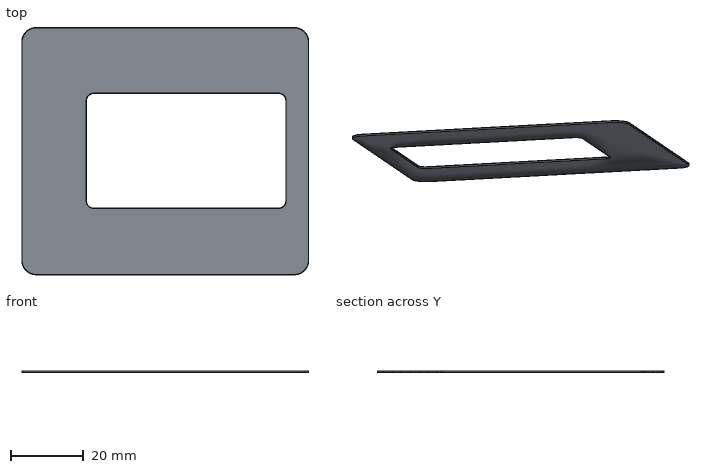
import cadquery as cq

plate_length = 79.0
plate_width = 68.07
plate_thickness = 0.5
plate_corner_radius = 4.0

window_length = 54.9
window_width = 31.6
window_corner_radius = 2.0
window_edge_margin = 6.3
window_center_x = plate_length / 2 - window_edge_margin - window_length / 2
window_center_y = 0.1


def rounded_slab(length, width, corner_radius):
    """Flat slab of plate thickness, resting on Z = 0, with rounded vertical corners."""
    slab = cq.Workplane("XY").box(length, width, plate_thickness, centered=(True, True, False))
    return slab.edges("|Z").fillet(corner_radius)


plate = rounded_slab(plate_length, plate_width, plate_corner_radius)
window = rounded_slab(window_length, window_width, window_corner_radius)

result = plate.cut(window.translate((window_center_x, window_center_y, 0)))